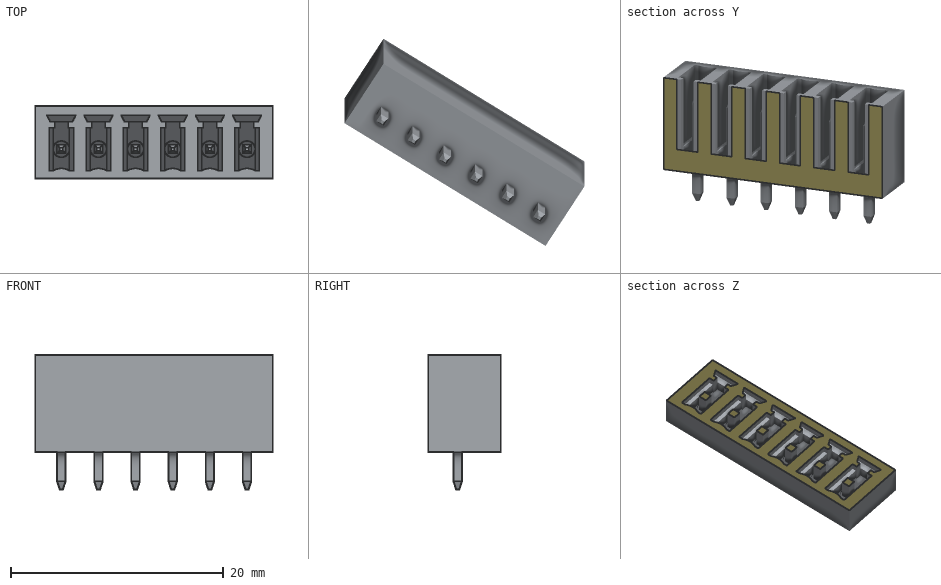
import cadquery as cq

pin_count = 6
pin_pitch = 3.5

body_length = 22.4
body_width = 6.86
body_height = 9.15
left_end_to_first_pin = 2.465
first_pin_x = left_end_to_first_pin - body_length / 2
pin_to_front = 2.79

pin_side = 0.82
pin_tip_side = 0.3
pin_taper = 0.8
pin_below_body = 3.55
pin_top_z = 7.0

floor_z = 1.2
ledge_z = 2.2
cavity_width = 2.3
cavity_reach = 2.02
channel_width = 1.54
rib_height = 0.2

neck_width = 1.28
dovetail_floor_z = 2.2
dovetail_front_y = 2.56
dovetail_rear_y = 3.17
dovetail_front_width = 2.06
dovetail_rear_width = 2.7

recess_diameter = channel_width
recess_depth = 0.2

pin_xs = [first_pin_x + i * pin_pitch for i in range(pin_count)]


def block(width, y_min, y_max, z_min, z_max):
    """Box centred on X = 0."""
    size_y = y_max - y_min
    box = cq.Workplane("XY").box(width, size_y, z_max - z_min, centered=(True, False, False))
    return box.translate((0, y_min, z_min))


def make_body():
    return block(body_length, -pin_to_front, body_width - pin_to_front, 0, body_height)


def make_dovetail():
    half_front = dovetail_front_width / 2
    half_rear = dovetail_rear_width / 2
    outline = [
        (-half_front, dovetail_front_y),
        (half_front, dovetail_front_y),
        (half_rear, dovetail_rear_y),
        (-half_rear, dovetail_rear_y),
    ]
    sketch = cq.Workplane("XY").workplane(offset=dovetail_floor_z).polyline(outline).close()
    return sketch.extrude(body_height - dovetail_floor_z)


def make_front_rib():
    """Rounded rib standing on the front cavity wall over the full cavity depth."""
    half_width = channel_width / 2
    return (
        cq.Workplane("XY")
        .workplane(offset=floor_z)
        .moveTo(-half_width, -cavity_reach)
        .threePointArc((0, rib_height - cavity_reach), (half_width, -cavity_reach))
        .close()
        .extrude(body_height - floor_z)
    )


def make_cavity():
    """Space taken out of the body around one pin."""
    wide_part = block(cavity_width, -cavity_reach, cavity_reach, ledge_z, body_height)
    channel = block(channel_width, -cavity_reach, cavity_reach, floor_z, body_height)
    neck = block(neck_width, 0, dovetail_front_y, floor_z, body_height)
    recess = (
        cq.Workplane("XY")
        .workplane(offset=floor_z - recess_depth)
        .circle(recess_diameter / 2)
        .extrude(recess_depth)
    )
    opening = wide_part.union(channel).union(neck).union(make_dovetail())
    return opening.cut(make_front_rib()).union(recess)


def make_pin():
    bottom_z = -pin_below_body
    shaft = block(pin_side, -pin_side / 2, pin_side / 2, bottom_z + pin_taper, pin_top_z - pin_taper)

    def tip(base_z, end_z):
        return (
            cq.Workplane("XY")
            .workplane(offset=base_z)
            .rect(pin_side, pin_side)
            .workplane(offset=end_z - base_z)
            .rect(pin_tip_side, pin_tip_side)
            .loft(ruled=True)
        )

    lower_tip = tip(bottom_z + pin_taper, bottom_z)
    upper_tip = tip(pin_top_z - pin_taper, pin_top_z)
    return shaft.union(lower_tip).union(upper_tip)


result = make_body()
for x in pin_xs:
    result = result.cut(make_cavity().translate((x, 0, 0)))
for x in pin_xs:
    result = result.union(make_pin().translate((x, 0, 0)))